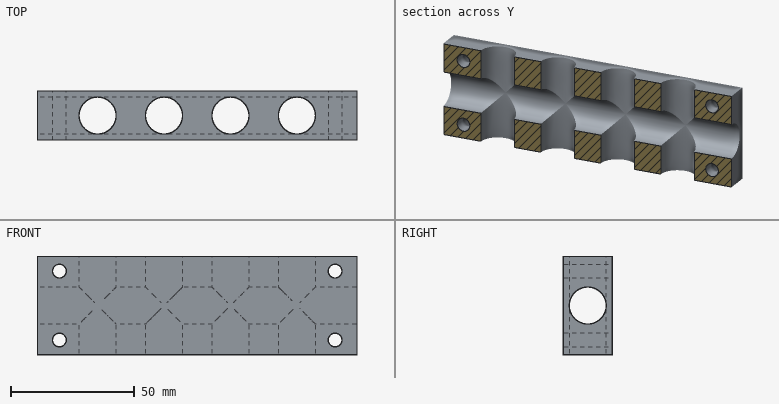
import cadquery as cq

length = 130.0
width = 20.0
height = 40.0

port_diameter = 14.95
port_count = 4
port_pitch = 27.0

mount_diameter = 5.5
mount_edge_x = 9.0
mount_edge_z = 6.0
mount_spacing_x = length - 2 * mount_edge_x
mount_spacing_z = height - 2 * mount_edge_z


def make_block():
    return cq.Workplane("XY").box(length, width, height)


def make_main_bore():
    return cq.Workplane("YZ").circle(port_diameter / 2).extrude(length / 2, both=True)


def make_ports():
    row = cq.Workplane("XY").rarray(port_pitch, 1, port_count, 1)
    return row.circle(port_diameter / 2).extrude(height / 2, both=True)


def make_mounting_holes():
    corners = cq.Workplane("XZ").rarray(mount_spacing_x, mount_spacing_z, 2, 2)
    return corners.circle(mount_diameter / 2).extrude(width / 2, both=True)


result = make_block().cut(make_main_bore()).cut(make_ports()).cut(make_mounting_holes())